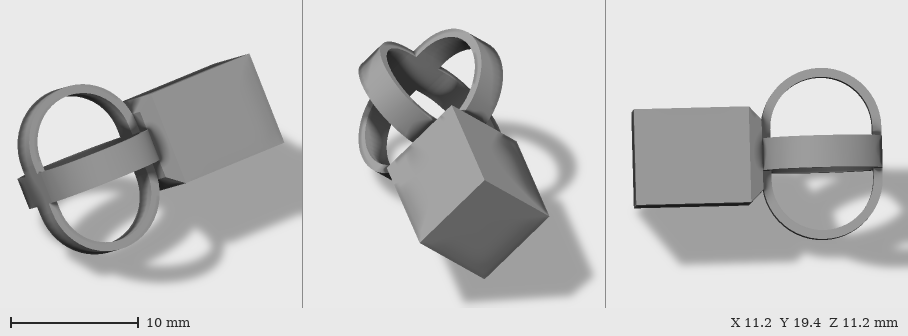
import cadquery as cq

TURN = 45

block_side = 7.5
block_length = 10.0
block_chamfer = 1.0

band_width = 2.5
band_thickness = 0.7
loop_outer_radius = 4.7
loop_straight = 4.0
loop_depth = 2 * loop_outer_radius


def make_block():
    """Square block behind the Y = 0 contact plane, chamfered around its front face."""
    block = cq.Workplane("XY").box(block_side, block_length, block_side, centered=(True, False, True))
    block = block.faces("<Y").chamfer(block_chamfer)
    return block.rotate((0, 0, 0), (0, 1, 0), TURN)


def make_loop(angle):
    """Oblong band in front of the contact plane, turned by angle about Y."""
    inner_radius = loop_outer_radius - band_thickness
    outer_length = loop_straight + 2 * loop_outer_radius
    inner_length = loop_straight + 2 * inner_radius
    loop = (
        cq.Workplane("XY")
        .slot2D(outer_length, 2 * loop_outer_radius)
        .slot2D(inner_length, 2 * inner_radius)
        .extrude(band_width / 2, both=True)
        .translate((0, -loop_depth / 2, 0))
    )
    return loop.rotate((0, 0, 0), (0, 1, 0), angle)


block = make_block()
crossed_loops = make_loop(TURN).union(make_loop(-TURN))

result = cq.Compound.makeCompound([block.val(), crossed_loops.val()])